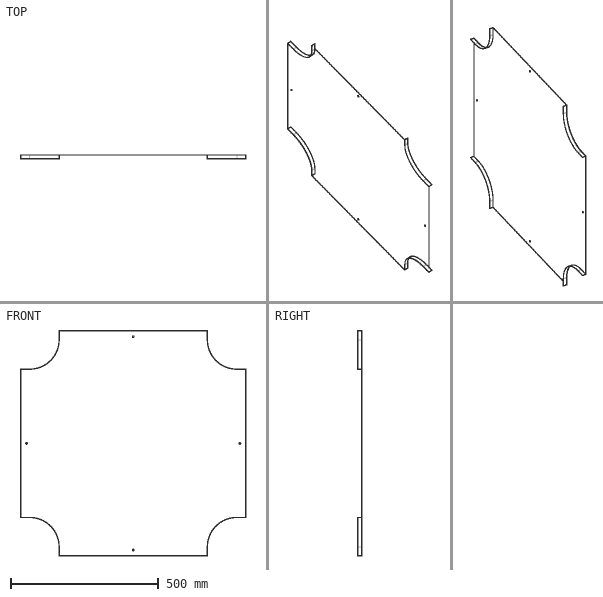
import cadquery as cq

side = 762.0
depth = 14.0
thickness = 1.0
arm_width = 502.0
notch_radius = 99.0
hole_diameter = 5.0
hole_inset = 20.5

half = side / 2
back = depth / 2
shoulder = arm_width / 2
arc_start = shoulder + notch_radius
hole_offset = half - hole_inset


def corner_cutter(offset):
    """Notch volume at the +X +Z corner, its walls shifted inward by offset."""
    wall = shoulder - offset
    radius = notch_radius + offset
    diagonal = arc_start - radius / 2**0.5
    return (
        cq.Workplane("XZ", origin=(0, back, 0))
        .moveTo(half, half)
        .lineTo(wall, half)
        .lineTo(wall, arc_start)
        .threePointArc((diagonal, diagonal), (arc_start, wall))
        .lineTo(half, wall)
        .close()
        .extrude(depth)
    )


def panel_sheet():
    return cq.Workplane("XY").box(side, thickness, side).translate((0, back - thickness / 2, 0))


def drill_edge_holes(body):
    centres = [(hole_offset, 0), (-hole_offset, 0), (0, hole_offset), (0, -hole_offset)]
    drills = (
        cq.Workplane("XZ", origin=(0, back, 0))
        .pushPoints(centres)
        .circle(hole_diameter / 2)
        .extrude(depth)
    )
    return body.cut(drills)


notch_space = corner_cutter(0)
flange = corner_cutter(thickness).cut(notch_space)

result = panel_sheet()
for quarter in range(4):
    angle = 90 * quarter
    result = result.cut(notch_space.rotate((0, 0, 0), (0, 1, 0), angle))
    result = result.union(flange.rotate((0, 0, 0), (0, 1, 0), angle))
result = drill_edge_holes(result)